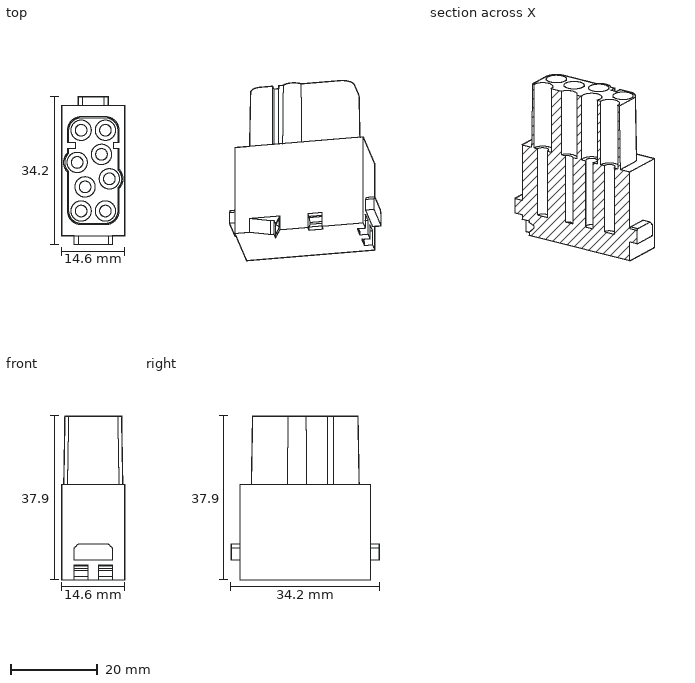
import cadquery as cq
import math

TOTAL_HEIGHT = 37.9
TOTAL_LENGTH = 34.2
BODY_WIDTH = 14.6
TAB_REACH = 2.0
BODY_LENGTH = TOTAL_LENGTH - 2 * TAB_REACH
BODY_HEIGHT = 22.15

CORNER_CAVITY = (2.8, 9.33)
SIDE_CAVITY = (3.7, -1.9)
MIDDLE_CAVITY = (1.9, 3.75)
BORE_DIAMETER = 4.7
INNER_DIAMETER = 2.7
INNER_FLOOR_Z = 5.7

TOWER_HEIGHT = TOTAL_HEIGHT - BODY_HEIGHT
TOWER_DRAFT = 1.0
TOWER_RADIUS = 3.15

KEY_Y = 5.8
KEY_WIDTH = 1.45
LEFT_KEY_FLOOR_X = -4.15
RIGHT_KEY_FLOOR_X = 4.7

FRONT_TAB_WIDTH = 8.9
BACK_TAB_WIDTH = 7.0
TAB_BOTTOM_Z = 4.65
TAB_HEIGHT = 3.7
TAB_CHAMFER = 1.0

SLOT_WIDTH = 3.25
SLOT_HEIGHT = 3.55
FRONT_SLOT_DEPTH = 1.95
FRONT_SLOT_X = 2.85
SIDE_SLOT_DEPTH = 1.48
SIDE_SLOT_Y = -3.7
GROOVE_DEPTH = 1.35
GROOVE_BOTTOM_Z = 0.85
GROOVE_FLOOR_Z = (GROOVE_BOTTOM_Z + GROOVE_DEPTH, 2.65)
GROOVE_TOP_Z = 3.25

POCKET_START_Y = 11.6
POCKET_END_Y = 4.5
RAMP_END_Y = 7.1
STEP_Y = 6.25
RAMP_DEPTH = 2.0
GROOVE_SETBACK = 0.87


def both_ways(point):
    """The point and its partner half a turn about Z."""
    x, y = point
    return [(x, y), (-x, -y)]


def make_tower():
    half_width = CORNER_CAVITY[0] + TOWER_RADIUS
    half_length = CORNER_CAVITY[1] + TOWER_RADIUS
    outline = cq.Sketch().rect(2 * half_width, 2 * half_length).vertices().fillet(TOWER_RADIUS)
    base = cq.Workplane("XY").workplane(offset=BODY_HEIGHT)
    tower = base.placeSketch(outline).extrude(TOWER_HEIGHT, taper=TOWER_DRAFT)
    for x, y in both_ways(SIDE_CAVITY):
        bulge = base.center(x, y).circle(TOWER_RADIUS).extrude(TOWER_HEIGHT, taper=TOWER_DRAFT)
        tower = tower.union(bulge)
    for floor_x, side in ((LEFT_KEY_FLOOR_X, -1), (RIGHT_KEY_FLOOR_X, 1)):
        reach = BODY_WIDTH / 2 - abs(floor_x)
        keyway = base.center(floor_x + side * reach / 2, KEY_Y).rect(reach, KEY_WIDTH)
        tower = tower.cut(keyway.extrude(TOWER_HEIGHT))
    return tower


def make_tab(width, side):
    """A tab on the end face at side * Y, with its two upper corners chamfered."""
    centre_y = side * (BODY_LENGTH + TAB_REACH) / 2
    tab = cq.Workplane("XY").box(width, TAB_REACH, TAB_HEIGHT, centered=(True, True, False))
    corners = cq.selectors.BoxSelector(
        (-width, -TAB_REACH, TAB_HEIGHT / 2), (width, TAB_REACH, 2 * TAB_HEIGHT)
    )
    tab = tab.edges("|Y").edges(corners).chamfer(TAB_CHAMFER)
    return tab.translate((0, centre_y, TAB_BOTTOM_Z))


def make_groove():
    """Groove sunk toward +Y from a back wall at Y = 0, centred on X."""
    floor_bottom_z, floor_top_z = GROOVE_FLOOR_Z
    profile = [
        (0, GROOVE_BOTTOM_Z),
        (GROOVE_DEPTH, floor_bottom_z),
        (GROOVE_DEPTH, floor_top_z),
        (0, GROOVE_TOP_Z),
    ]
    return cq.Workplane("YZ").polyline(profile).close().extrude(SLOT_WIDTH / 2, both=True)


def make_slot(depth):
    """Slot running toward +Y from an outer face at Y = 0, with its grooved back wall."""
    slot = cq.Workplane("XY").box(SLOT_WIDTH, depth, SLOT_HEIGHT, centered=(True, False, False))
    return slot.union(make_groove().translate((0, depth, 0)))


def make_angled_pocket():
    """A ramp leading to a latch wall square to it, grooved like the slots."""
    face_x = -BODY_WIDTH / 2
    ramp_angle = math.atan2(RAMP_DEPTH, POCKET_START_Y - RAMP_END_Y)
    wall_depth = (STEP_Y - POCKET_END_Y) / math.tan(ramp_angle)
    outline = [
        (face_x, POCKET_START_Y),
        (face_x + RAMP_DEPTH, RAMP_END_Y),
        (face_x + RAMP_DEPTH, STEP_Y),
        (face_x + wall_depth, STEP_Y),
        (face_x, POCKET_END_Y),
    ]
    pocket = cq.Workplane("XY").polyline(outline).close().extrude(SLOT_HEIGHT)
    along_wall = GROOVE_SETBACK + SLOT_WIDTH / 2
    groove_x = face_x + along_wall * math.cos(ramp_angle)
    groove_y = POCKET_END_Y + along_wall * math.sin(ramp_angle)
    groove_turn = 180 + math.degrees(ramp_angle)
    groove = make_groove().rotate((0, 0, 0), (0, 0, 1), groove_turn)
    return pocket.union(groove.translate((groove_x, groove_y, 0)))


body = cq.Workplane("XY").box(BODY_WIDTH, BODY_LENGTH, BODY_HEIGHT, centered=(True, True, False))
body = body.union(make_tower())
body = body.union(make_tab(FRONT_TAB_WIDTH, -1))
body = body.union(make_tab(BACK_TAB_WIDTH, 1))

corner_x, corner_y = CORNER_CAVITY
cavities = both_ways(CORNER_CAVITY) + both_ways((-corner_x, corner_y))
cavities += both_ways(SIDE_CAVITY) + both_ways(MIDDLE_CAVITY)
tower_top = cq.Workplane("XY").workplane(offset=TOTAL_HEIGHT).pushPoints(cavities)
body = body.cut(tower_top.circle(BORE_DIAMETER / 2).extrude(-TOWER_HEIGHT))
body = body.cut(tower_top.circle(INNER_DIAMETER / 2).extrude(INNER_FLOOR_Z - TOTAL_HEIGHT))

for slot_x in (-FRONT_SLOT_X, FRONT_SLOT_X):
    body = body.cut(make_slot(FRONT_SLOT_DEPTH).translate((slot_x, -BODY_LENGTH / 2, 0)))
side_slot = make_slot(SIDE_SLOT_DEPTH).rotate((0, 0, 0), (0, 0, 1), -90)
body = body.cut(side_slot.translate((-BODY_WIDTH / 2, SIDE_SLOT_Y, 0)))

result = body.cut(make_angled_pocket())